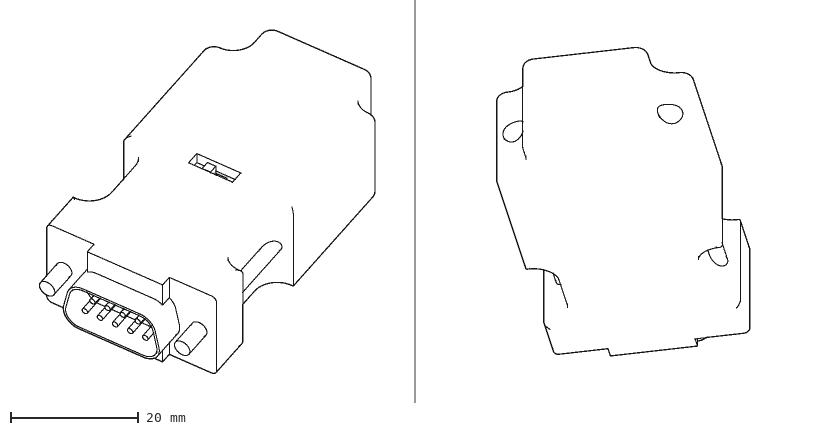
import cadquery as cq
import math

width = 31.5
length = 62.2
height = 17.0
edge_radius = 1.0
housing_front = 6.05
half_width = width / 2
top = height / 2

neck_half_width = 10.0
shoulder_drop = 7.95
corner_radius = 2.0
shoulder_y = length - shoulder_drop
neck_blend_radius = half_width - corner_radius - neck_half_width

grip_front = 13.75
grip_back = 28.75
grip_half_width = 11.2
grip_radius = 4.0

tab_half_width = 6.95
tab_length = 2.0

shroud_top_x = 5.2
shroud_bottom_x = 5.9
shroud_half_height = 4.6
shroud_radius = 3.0
shroud_wall = 0.45

pin_radius = 0.5
pin_pitch = 2.8
pin_row_z = 1.4
pin_tip = 1.1
top_row_pins = 4
bottom_row_pins = 5

screw_x = 12.5
screw_tip = 1.0
screw_radius = 1.4
shank_radius = 1.25
access_radius = 1.85
access_depth = 9.95

window_length = 8.15
window_width = 2.4
window_depth = 2.0
window_y = 30.55
track_length = 3.7
track_width = 1.55
track_depth = 0.6
knob_length = 1.55
knob_drop = 0.45


def y_prism(profile, y_start, y_end):
    """Extrude a profile given on the XZ plane from y_start to y_end."""
    return profile.extrude(y_start - y_end).translate((0, y_start, 0))


def y_cylinder(x, z, radius, y_start, y_end):
    return y_prism(cq.Workplane("XZ").center(x, z).circle(radius), y_start, y_end)


def block(x_range, y_range, z_range):
    sizes = [end - start for start, end in (x_range, y_range, z_range)]
    corner = (x_range[0], y_range[0], z_range[0])
    return cq.Workplane("XY").box(*sizes, centered=False).translate(corner)


def make_half_blank():
    """Right half of the housing without grips, with its flat cut face on X = 0."""
    corner_bulge = corner_radius * (1 - math.sqrt(0.5))
    blend_bulge = neck_blend_radius * (1 - math.sqrt(0.5))
    outline = (
        cq.Workplane("XY", origin=(0, 0, -top))
        .moveTo(0, housing_front)
        .lineTo(half_width, housing_front)
        .lineTo(half_width, shoulder_y - corner_radius)
        .threePointArc(
            (half_width - corner_bulge, shoulder_y - corner_bulge),
            (half_width - corner_radius, shoulder_y),
        )
        .threePointArc(
            (neck_half_width + blend_bulge, shoulder_y + blend_bulge),
            (neck_half_width, shoulder_y + neck_blend_radius),
        )
        .lineTo(neck_half_width, length - corner_radius)
        .threePointArc(
            (neck_half_width - corner_bulge, length - corner_bulge),
            (neck_half_width - corner_radius, length),
        )
        .lineTo(0, length)
        .close()
    )
    return outline.extrude(height)


def make_gripped_slab():
    """Slab wider than the housing whose only shaped parts are the two rounded grips."""
    slab = block((-width, width), (0, length), (-top, top))
    grip = block((grip_half_width, width), (grip_front, grip_back), (-top, top))
    grip = grip.edges("|Z and <X").fillet(grip_radius)
    slab = slab.cut(grip).cut(grip.mirror("YZ"))
    grip_zone = cq.selectors.BoxSelector(
        (-width, grip_front - edge_radius, -height),
        (width, grip_back + edge_radius, height),
    )
    return slab.faces("|Z").edges(grip_zone).fillet(edge_radius)


def make_housing():
    """Housing with top and bottom rims rounded except at the front, where the tab sits."""
    right_half = make_half_blank()
    blank = right_half.union(right_half.mirror("YZ")).clean()
    blank = blank.faces("|Z").edges("not <Y").fillet(edge_radius)
    tab = block(
        (-tab_half_width, tab_half_width),
        (housing_front - tab_length, housing_front),
        (-top, top),
    )
    return blank.intersect(make_gripped_slab()).union(tab)


def shroud_profile(radius):
    corner_z = shroud_half_height - shroud_radius
    corners = [
        (-shroud_bottom_x, -corner_z),
        (shroud_bottom_x, -corner_z),
        (shroud_top_x, corner_z),
        (-shroud_top_x, corner_z),
    ]
    return cq.Workplane("XZ").polyline(corners).close().offset2D(radius, "arc")


def add_connector(body):
    """Hollow shroud through the tab, with two staggered rows of pins inside."""
    body = body.union(y_prism(shroud_profile(shroud_radius), 0, housing_front))
    body = body.cut(y_prism(shroud_profile(shroud_radius - shroud_wall), 0, housing_front))
    for count, z in ((top_row_pins, pin_row_z), (bottom_row_pins, -pin_row_z)):
        for index in range(count):
            x = (index - (count - 1) / 2) * pin_pitch
            body = body.union(y_cylinder(x, z, pin_radius, pin_tip, housing_front))
    return body


def add_screws(body):
    """Screw ends at the front, shanks crossing the grips, access holes in the shoulders."""
    for x in (-screw_x, screw_x):
        screw_end = y_cylinder(x, 0, screw_radius, screw_tip, housing_front)
        body = body.union(screw_end)
        shank = y_cylinder(x, 0, shank_radius, grip_front - grip_radius, grip_back + grip_radius)
        body = body.union(shank)
        hole = y_cylinder(x, 0, access_radius, shoulder_y - access_depth, length)
        body = body.cut(hole)
    return body


def add_switch(body):
    """Window with a sunken track and a knob at the -X end of the track."""
    floor = top - window_depth
    track_floor = floor - track_depth
    track_y = (window_y - track_width / 2, window_y + track_width / 2)
    window = block(
        (-window_length / 2, window_length / 2),
        (window_y - window_width / 2, window_y + window_width / 2),
        (floor, top),
    )
    track = block((-track_length / 2, track_length / 2), track_y, (track_floor, floor))
    knob = block(
        (-track_length / 2, -track_length / 2 + knob_length),
        track_y,
        (track_floor, top - knob_drop),
    )
    return body.cut(window).cut(track).union(knob)


result = add_switch(add_screws(add_connector(make_housing())))